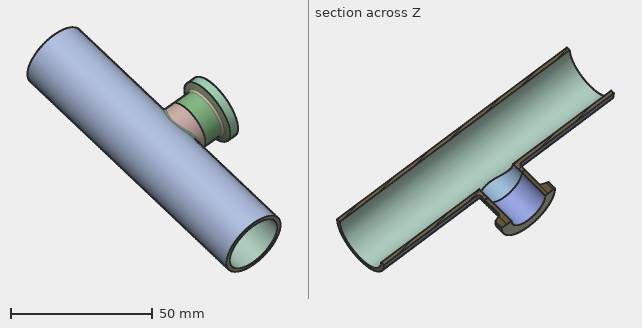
import cadquery as cq
import math

run_length = 108.0
run_diameter = 25.4
wall = 1.6

branch_diameter = 19.0
branch_bore = branch_diameter - 2 * wall
saddle_fillet = 1.0
joint_y = 15.9

overall_depth = 41.3
branch_reach = overall_depth - run_diameter / 2
flange_diameter = 25.1
rim_thickness = 3.7
clamp_angle = 20.0
neck_fillet = 0.9

branch_radius = branch_diameter / 2
flange_radius = flange_diameter / 2


def cylinder_along_x(diameter):
    return cq.Workplane("YZ").circle(diameter / 2).extrude(run_length / 2, both=True)


def cylinder_along_y(diameter, end_y):
    """Cylinder on the Y axis, from the run axis out to end_y."""
    return cq.Workplane("XZ").circle(diameter / 2).extrude(-end_y)


def make_tee():
    """Run tube with a short branch blended into its wall."""
    run = cylinder_along_x(run_diameter)
    outside = run.union(cylinder_along_y(branch_diameter, joint_y))
    saddle_zone = cq.selectors.BoxSelector(
        (-branch_diameter, wall, -branch_diameter),
        (branch_diameter, joint_y - wall, branch_diameter),
        boundingbox=True,
    )
    outside = outside.edges(saddle_zone).fillet(saddle_fillet)
    run_bore = cylinder_along_x(run_diameter - 2 * wall)
    return outside.cut(run_bore).cut(cylinder_along_y(branch_bore, joint_y))


def make_ferrule():
    """Neck with a sloped clamping flange, revolved about the Y axis."""
    bore_radius = branch_bore / 2
    rim_y = branch_reach - rim_thickness
    slope_height = (flange_radius - branch_radius) * math.tan(math.radians(clamp_angle))
    neck_end_y = rim_y - slope_height
    body = (
        cq.Workplane("XY")
        .moveTo(bore_radius, joint_y)
        .lineTo(branch_radius, joint_y)
        .lineTo(branch_radius, neck_end_y)
        .lineTo(flange_radius, rim_y)
        .lineTo(flange_radius, branch_reach)
        .lineTo(bore_radius, branch_reach)
        .close()
        .revolve(360, (0, 0, 0), (0, 1, 0))
    )
    neck_corner = cq.selectors.BoxSelector(
        (-flange_radius, neck_end_y - neck_fillet / 2, -flange_radius),
        (flange_radius, neck_end_y + neck_fillet / 2, flange_radius),
        boundingbox=True,
    )
    return body.edges(neck_corner).fillet(neck_fillet)


tee = make_tee()
ferrule = make_ferrule()

result = cq.Compound.makeCompound([tee.val(), ferrule.val()])